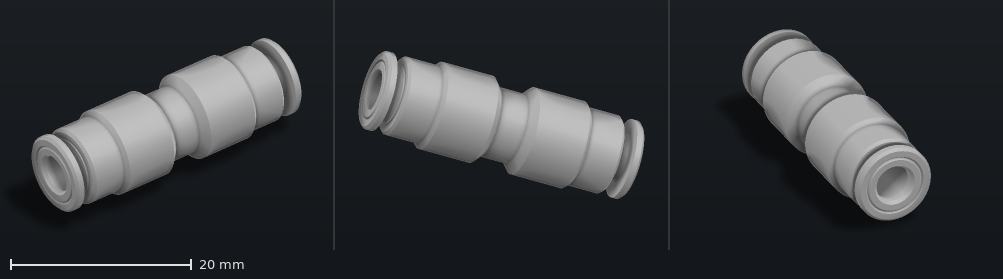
import cadquery as cq
import math

length = 30.77
half_length = length / 2
body_radius = 5.0
sleeve_radius = 4.5
waist_radius = 4.0
edge_chamfer = 0.3

collar_thickness = 1.0
neck_end = 1.7
flare_end = 2.2
sleeve_start = 2.37
shoulder_start = 6.37
body_end = 12.85
waist_start = 13.85

neck_radius = 2.5
neck_fillet = 0.35
flare_radius = 3.2
seat_radius = 3.42

bore_radius = 2.1
bore_depth = 10.77
mouth_chamfer_width = 0.3
mouth_chamfer_depth = 0.43
groove_inner_radius = 3.1
groove_bottom_radius = 3.32
groove_outer_radius = 3.5
groove_depth = 0.2


def on_axis(radius, distance):
    """Place a point by its radius and its distance from the open end."""
    return (radius, distance - half_length)


def revolve_outline(outline):
    return outline.close().revolve(360, (0, 0, 0), (0, 1, 0))


def revolve_points(points):
    """Revolve (radius, distance from the end) points about the Y axis."""
    outline = [on_axis(*point) for point in points]
    return revolve_outline(cq.Workplane("XY").polyline(outline))


def outer_half():
    arc_radius = neck_radius + neck_fillet
    arc_end = collar_thickness + neck_fillet
    arc_offset = neck_fillet * math.sqrt(0.5)
    arc_middle = (arc_radius - arc_offset, arc_end - arc_offset)

    collar = [
        (0, 0),
        (sleeve_radius - edge_chamfer, 0),
        (sleeve_radius, edge_chamfer),
        (sleeve_radius, collar_thickness),
        (arc_radius, collar_thickness),
    ]
    shoulder_end = shoulder_start + body_radius - sleeve_radius
    body = [
        (neck_radius, neck_end),
        (flare_radius, flare_end),
        (seat_radius, flare_end),
        (seat_radius, sleeve_start),
        (sleeve_radius - edge_chamfer, sleeve_start),
        (sleeve_radius, sleeve_start + edge_chamfer),
        (sleeve_radius, shoulder_start),
        (body_radius, shoulder_end),
        (body_radius, body_end),
        (waist_radius, waist_start),
        (waist_radius, half_length),
        (0, half_length),
    ]
    outline = (
        cq.Workplane("XY")
        .polyline([on_axis(*point) for point in collar])
        .threePointArc(on_axis(*arc_middle), on_axis(neck_radius, arc_end))
    )
    for point in body:
        outline = outline.lineTo(*on_axis(*point))
    return revolve_outline(outline)


def socket():
    return revolve_points([
        (0, 0),
        (bore_radius + mouth_chamfer_width, 0),
        (bore_radius, mouth_chamfer_depth),
        (bore_radius, bore_depth),
        (0, bore_depth),
    ])


def face_groove():
    return revolve_points([
        (groove_inner_radius, 0),
        (groove_outer_radius, 0),
        (groove_bottom_radius, groove_depth),
    ])


half = outer_half().cut(socket()).cut(face_groove())
result = half.union(half.mirror("XZ"))